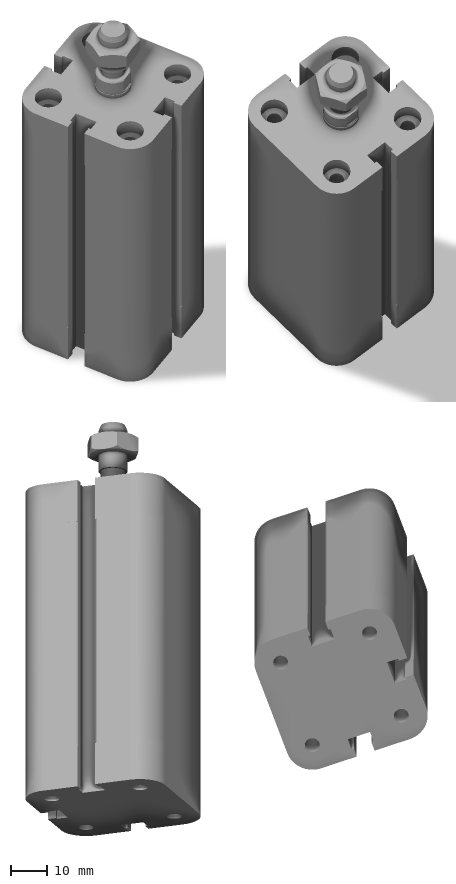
import cadquery as cq
import math

total_height = 111.0
body_height = 89.1
body_width = 40.5
corner_radius = 7.3

cap_height = 12.0
tube_height = body_height - 2 * cap_height
front_cap_base = cap_height + tube_height

slot_mouth_width = 5.2
slot_undercut = 0.7
slot_lip_depth = 2.4
slot_depth = 5.7
lip_chamfer = 0.3
slot_angles = (0, 180, 270)

hole_spacing = 26.0
hole_diameter = 4.1
counterbore_diameter = 7.5
counterbore_depth = 4.3

rod_diameter = 10.0
collar_diameter = 9.8
collar_base = 1.2
collar_top = 6.0
collar_chamfer = 0.3
flat_base = 1.9
flat_width = 9.0
neck_diameter = 6.8
thread_base = 8.5
thread_diameter = 8.0
tip_diameter = 6.7
tip_height = 1.5

nut_width = 13.0
nut_height = 5.0
nut_base = 13.1
nut_chamfer_angle = 30


def body_block(base, height):
    """Square block with rounded vertical corners."""
    return (
        cq.Workplane("XY", origin=(0, 0, base))
        .rect(body_width, body_width)
        .extrude(height)
        .edges("|Z")
        .fillet(corner_radius)
    )


def t_slots(base, height, mouth_chamfer):
    """T-slot cutters on three sides, with a chamfered mouth if the chamfer is not zero."""
    face = body_width / 2
    lip = face - slot_lip_depth
    floor = face - slot_depth
    mouth = slot_mouth_width / 2
    inner = mouth + slot_undercut
    half_outline = [(floor, inner), (lip, inner), (lip, mouth)]
    if mouth_chamfer:
        half_outline.append((face - mouth_chamfer, mouth))
    half_outline.append((face, mouth + mouth_chamfer))
    mirrored = [(x, -y) for x, y in reversed(half_outline)]
    slot = cq.Workplane("XY", origin=(0, 0, base)).polyline(half_outline + mirrored).close().extrude(height)
    cutters = cq.Workplane("XY")
    for angle in slot_angles:
        cutters = cutters.add(slot.rotate((0, 0, 0), (0, 0, 1), angle))
    return cutters.combine()


def corner_cylinders(base, height, diameter):
    """Cutters for the four corner holes."""
    return (
        cq.Workplane("XY", origin=(0, 0, base))
        .rect(hole_spacing, hole_spacing, forConstruction=True)
        .vertices()
        .circle(diameter / 2)
        .extrude(height)
    )


def make_body_section(base, height, mouth_chamfer=0.0):
    """Length of slotted body with the corner holes running through it."""
    section = body_block(base, height)
    section = section.cut(t_slots(base, height, mouth_chamfer))
    return section.cut(corner_cylinders(base, height, hole_diameter))


def make_front_cap():
    """Front cap with counterbored corner holes and a bore for the rod."""
    cap = make_body_section(front_cap_base, cap_height)
    counterbore_floor = body_height - counterbore_depth
    cap = cap.cut(corner_cylinders(counterbore_floor, counterbore_depth, counterbore_diameter))
    rod_bore = cq.Workplane("XY", origin=(0, 0, front_cap_base)).circle(rod_diameter / 2).extrude(cap_height)
    return cap.cut(rod_bore)


def revolved(profile, base):
    """Solid of revolution about the Z axis from (radius, height) points above the base."""
    return (
        cq.Workplane("XZ", origin=(0, 0, base))
        .polyline(profile)
        .close()
        .revolve(360, (0, 0), (0, 1))
    )


def rod_flats():
    """Cutters for two wrench flats facing +X and -X, each ending in a 45 degree ramp."""
    flat = flat_width / 2
    reach = rod_diameter - flat
    outline = [
        (flat, flat_base),
        (rod_diameter, flat_base - reach),
        (rod_diameter, collar_top),
        (flat, collar_top),
    ]
    one_side = (
        cq.Workplane("XZ", origin=(0, 0, body_height))
        .polyline(outline)
        .close()
        .extrude(rod_diameter / 2, both=True)
    )
    return one_side.union(one_side.mirror("YZ"))


def make_rod():
    """Stepped rod that stands on the tube and passes through the front cap."""
    top = total_height - body_height
    profile = [
        (0, -cap_height),
        (rod_diameter / 2, -cap_height),
        (rod_diameter / 2, collar_base),
        (collar_diameter / 2, collar_base),
        (collar_diameter / 2, collar_top - collar_chamfer),
        (collar_diameter / 2 - collar_chamfer, collar_top),
        (neck_diameter / 2, collar_top),
        (neck_diameter / 2, thread_base),
        (thread_diameter / 2, thread_base),
        (thread_diameter / 2, top - tip_height),
        (tip_diameter / 2, top),
        (0, top),
    ]
    rod = revolved(profile, body_height)
    return rod.cut(rod_flats())


def make_nut():
    """Hexagon nut with flats facing +X and -X and both faces chamfered."""
    base = body_height + nut_base
    corner = nut_width / math.sqrt(3)
    face_radius = nut_width / 2
    bevel = (corner - face_radius) * math.tan(math.radians(nut_chamfer_angle))
    hexagon = (
        cq.Workplane("XY", origin=(0, 0, base))
        .polygon(6, 2 * corner)
        .extrude(nut_height)
        .rotate((0, 0, 0), (0, 0, 1), 90)
    )
    turned_profile = [
        (0, 0),
        (face_radius, 0),
        (corner, bevel),
        (corner, nut_height - bevel),
        (face_radius, nut_height),
        (0, nut_height),
    ]
    turned = revolved(turned_profile, base)
    bore = cq.Workplane("XY", origin=(0, 0, base)).circle(thread_diameter / 2).extrude(nut_height)
    return hexagon.intersect(turned).cut(bore)


rear_cap = make_body_section(0, cap_height)
tube = make_body_section(cap_height, tube_height, lip_chamfer)
front_cap = make_front_cap()
rod = make_rod()
nut = make_nut()

result = cq.Compound.makeCompound([rear_cap.val(), tube.val(), front_cap.val(), rod.val(), nut.val()])